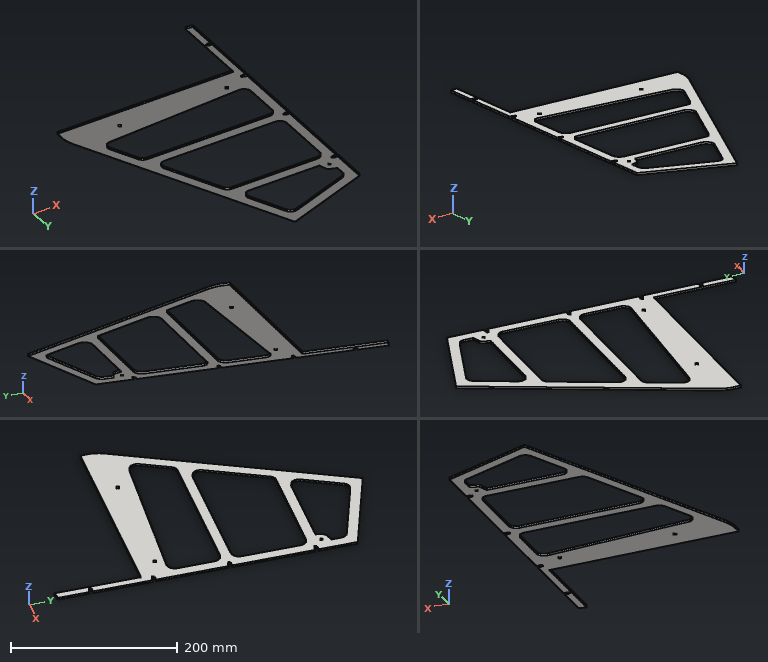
import cadquery as cq
import math


thickness = 3.0
overall_length = 421.0
panel_width = 260.0
apex_x = -118.5
apex_y = 312.0
right_edge_top = 269.5
left_edge_top = 13.5
slope_foot_y = 28.0
slope_foot_x = -256.0
left_bulge = 0.4

tail_width = 10.0
tail_length = overall_length - apex_y
tail_end_angle = 10.0
tail_end_rise = tail_width * math.tan(math.radians(tail_end_angle))

bar_width = 14.0
window_radius = 10.0
upper_bar_y = 211.5
lower_bar_y = 103.5
sill_right_y = 36.0
sill_angle = 3.5
sill_slope = math.tan(math.radians(sill_angle))

panel_hole_diameter = 4.0
panel_hole_y = 25.0
panel_hole_xs = (-187.0, -35.0)
tab_hole_diameter = 3.0
tab_hole_x = -17.8
tab_hole_y = 229.2

tab_leg = 15.7
tab_lean = 20.0
tab_radius = 4.0

slot_ys = (218.4, 109.7, 14.0, -65.2)
mouth_width = 4.0
mouth_depth = 5.0
tip_width = 2.0
slot_depth = 7.5

left_run = (apex_x - slope_foot_x) / (apex_y - slope_foot_y)
roof_slope = (right_edge_top - apex_y) / -apex_x
frame_right_x = -bar_width


def frame_left_x(y):
    """X of the inner edge of the inclined left bar."""
    return apex_x + (y - apex_y) * left_run + bar_width * math.hypot(1, left_run)


def frame_roof_y(x):
    """Y of the inner edge of the inclined top bar."""
    return right_edge_top + x * roof_slope - bar_width * math.hypot(1, roof_slope)


def sill_y(x):
    """Y of the gently inclined bottom edge of the lowest window."""
    return sill_right_y - (x - frame_right_x) * sill_slope


def left_corner(y_at_zero, slope):
    """Point where the inner left edge meets the line y = y_at_zero + slope * x."""
    x = (frame_left_x(0) + left_run * y_at_zero) / (1 - left_run * slope)
    return (x, y_at_zero + slope * x)


def plate():
    chord_x = slope_foot_x + panel_width
    chord_y = slope_foot_y - left_edge_top
    chord = math.hypot(chord_x, chord_y)
    arc_middle = (
        (slope_foot_x - panel_width) / 2 - left_bulge * chord_y / chord,
        (slope_foot_y + left_edge_top) / 2 + left_bulge * chord_x / chord,
    )
    return (
        cq.Workplane("XY")
        .moveTo(-panel_width, 0)
        .lineTo(-panel_width, left_edge_top)
        .threePointArc(arc_middle, (slope_foot_x, slope_foot_y))
        .lineTo(apex_x, apex_y)
        .lineTo(0, right_edge_top)
        .lineTo(0, tail_end_rise - tail_length)
        .lineTo(-tail_width, -tail_length)
        .lineTo(-tail_width, 0)
        .close()
        .extrude(thickness)
    )


def window(corners):
    return cq.Workplane("XY").polyline(corners).close().extrude(thickness).edges("|Z").fillet(window_radius)


def upper_window():
    bottom = upper_bar_y + bar_width
    opening = window([
        left_corner(bottom, 0),
        left_corner(frame_roof_y(0), roof_slope),
        (frame_right_x, frame_roof_y(frame_right_x)),
        (frame_right_x, bottom),
    ])
    return opening.cut(tab())


def tab():
    """Corner block with two sides leaning inwards to a rounded peak."""
    corner_x = frame_right_x
    corner_y = upper_bar_y + bar_width
    lean = math.tan(math.radians(tab_lean))
    peak = tab_leg / (1 + lean)
    return (
        cq.Workplane("XY")
        .moveTo(corner_x, corner_y)
        .lineTo(corner_x, corner_y + tab_leg)
        .lineTo(corner_x - peak, corner_y + peak)
        .lineTo(corner_x - tab_leg, corner_y)
        .close()
        .extrude(thickness)
        .edges("|Z")
        .edges(cq.selectors.NearestToPointSelector((corner_x - peak, corner_y + peak, thickness / 2)))
        .fillet(tab_radius)
    )


def middle_window():
    bottom = lower_bar_y + bar_width
    return window([
        left_corner(bottom, 0),
        left_corner(upper_bar_y, 0),
        (frame_right_x, upper_bar_y),
        (frame_right_x, bottom),
    ])


def lower_window():
    return window([
        left_corner(sill_y(0), -sill_slope),
        left_corner(lower_bar_y, 0),
        (frame_right_x, lower_bar_y),
        (frame_right_x, sill_right_y),
    ])


def hole(x, y, diameter):
    return cq.Workplane("XY").center(x, y).circle(diameter / 2).extrude(thickness)


def edge_slot(y):
    """Slot open at the right edge that narrows towards its end."""
    mouth = cq.Workplane("XY").center(-mouth_depth / 2, y).rect(mouth_depth, mouth_width).extrude(thickness)
    tip = cq.Workplane("XY").center(-slot_depth / 2, y).rect(slot_depth, tip_width).extrude(thickness)
    return mouth.union(tip)


def build():
    part = plate().cut(upper_window()).cut(middle_window()).cut(lower_window())
    for x in panel_hole_xs:
        part = part.cut(hole(x, panel_hole_y, panel_hole_diameter))
    part = part.cut(hole(tab_hole_x, tab_hole_y, tab_hole_diameter))
    for y in slot_ys:
        part = part.cut(edge_slot(y))
    return part


result = build()